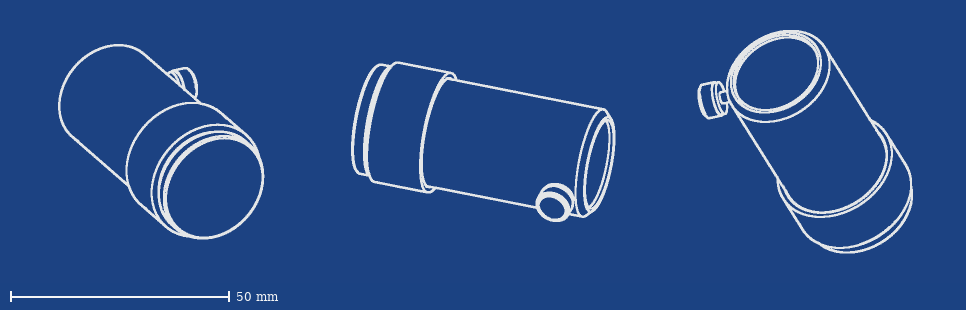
import cadquery as cq

total_length = 55.6
body_radius = 12.55
front_chamfer = 1.55
collar_start = 38.65
collar_end = 51.45
collar_diameter = 27.95
collar_radius = collar_diameter / 2
groove_end = 52.4
groove_radius = 12.25
flange_radius = 12.8
flange_front_chamfer = 0.2
flange_chamfer = 0.4

clearance_radius = 12.75
clearance_depth = 0.3

recess_radius = 10.35
recess_depth = 1.0

screw_x = 4.9
stem_radius = 1.35
overall_width = 33.5
screw_top = overall_width - collar_radius
cap_height = 0.55
cap_top_radius = 3.3
cap_base_radius = 3.5
head_height = 2.95
head_radius = 3.95
shoulder_height = 0.95
shoulder_radius = 3.7
stem_embed = 2.2


def make_barrel():
    """Revolve the stepped barrel profile about the X axis."""
    return (
        cq.Workplane("XY")
        .moveTo(0, 0)
        .lineTo(0, body_radius - front_chamfer)
        .lineTo(front_chamfer, body_radius)
        .lineTo(collar_start + clearance_depth, body_radius)
        .lineTo(collar_start + clearance_depth, clearance_radius)
        .lineTo(collar_start, clearance_radius)
        .lineTo(collar_start, collar_radius)
        .lineTo(collar_end, collar_radius)
        .lineTo(collar_end, groove_radius)
        .lineTo(groove_end, groove_radius)
        .lineTo(groove_end, flange_radius - flange_front_chamfer)
        .lineTo(groove_end + flange_front_chamfer, flange_radius)
        .lineTo(total_length - flange_chamfer, flange_radius)
        .lineTo(total_length, flange_radius - flange_chamfer)
        .lineTo(total_length, 0)
        .close()
        .revolve(360, (0, 0, 0), (1, 0, 0))
    )


def make_recess():
    """Disc removed from the front end."""
    return cq.Workplane("YZ").circle(recess_radius).extrude(recess_depth)


def make_thumbscrew():
    """Revolve the stem, shoulder, head and tapered cap about the screw axis."""
    head_top = screw_top - cap_height
    head_bottom = head_top - head_height
    shoulder_bottom = head_bottom - shoulder_height
    stem_bottom = body_radius - stem_embed
    screw = (
        cq.Workplane("XY")
        .moveTo(0, stem_bottom)
        .lineTo(stem_radius, stem_bottom)
        .lineTo(stem_radius, shoulder_bottom)
        .lineTo(shoulder_radius, shoulder_bottom)
        .lineTo(shoulder_radius, head_bottom)
        .lineTo(head_radius, head_bottom)
        .lineTo(head_radius, head_top)
        .lineTo(cap_base_radius, head_top)
        .lineTo(cap_top_radius, screw_top)
        .lineTo(0, screw_top)
        .close()
        .revolve(360, (0, 0, 0), (0, 1, 0))
    )
    return screw.translate((screw_x, 0, 0))


result = make_barrel().union(make_thumbscrew()).cut(make_recess())